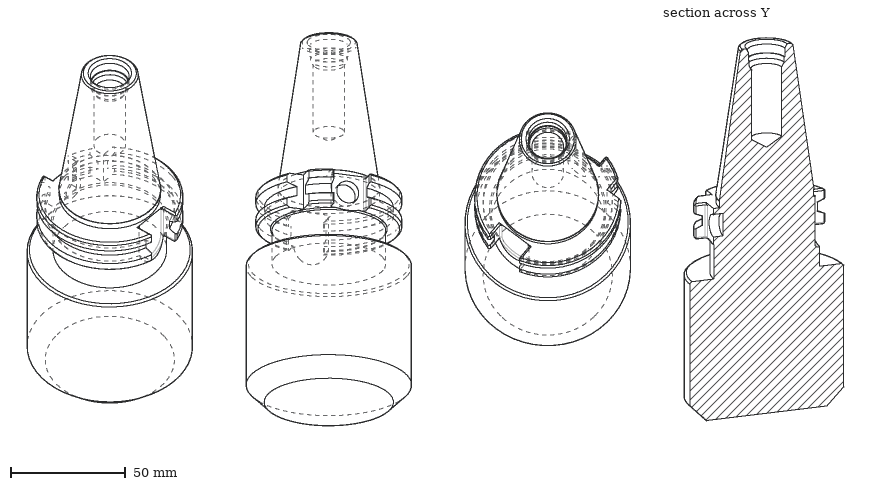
import cadquery as cq
import math

TOTAL_HEIGHT = 168.4

BODY_RADIUS = 36.0
BODY_TOP = 64.7
BODY_TOP_CHAMFER = 1.0
NOSE_CHAMFER = 7.9
SHANK_RADIUS = 24.8
SHANK_CHAMFER = 0.7

FLANGE_RADIUS = 31.8
FLANGE_BOTTOM = 81.0
FLANGE_TOP = 97.0
FLANGE_CHAMFER = 1.0
GROOVE_FLOOR_RADIUS = 28.1
GROOVE_CENTER = 89.0
GROOVE_FLOOR_WIDTH = 4.2
GROOVE_FLANK_HEIGHT = 1.6

GAUGE_RADIUS = 22.2
GAUGE_HEIGHT = 100.0
TAPER_PER_LENGTH = 7 / 24
TAPER_END_CHAMFER = 0.8
NECK_RADIUS = 22.0

MOUTH_RADIUS = 9.5
MOUTH_DEPTH = 1.9
PILOT_RADIUS = 8.5
PILOT_DEPTH = 5.9
RELIEF_RADIUS = 8.0
RELIEF_DEPTH = 8.3
BORE_RADIUS = 6.9
BORE_CHAMFER_DEPTH = 10.3
BORE_DEPTH = 42.1
DRILL_POINT_ANGLE = 118.0

SLOT_WIDTH = 16.2
SLOT_EDGE_CHAMFER = 0.8
SLOT_CORNER_FILLET = 0.8
LEFT_SLOT_FLOOR = 25.0
RIGHT_SLOT_FLOOR = 22.7
SLOT_END = 73.6

NOTCH_X = 18.5
NOTCH_Y = 18.2
CHIP_RADIUS = 5.0
CHIP_DEPTH = 4.5


def make_holder():
    """Revolve the outer shape from the nose up to the small end of the taper."""
    floor_half = GROOVE_FLOOR_WIDTH / 2
    mouth_half = floor_half + GROOVE_FLANK_HEIGHT
    end_radius = GAUGE_RADIUS - (TOTAL_HEIGHT - GAUGE_HEIGHT) * TAPER_PER_LENGTH / 2
    chamfer_start = TOTAL_HEIGHT - TAPER_END_CHAMFER
    chamfer_start_radius = end_radius + TAPER_END_CHAMFER * TAPER_PER_LENGTH / 2

    outline = [
        (0, 0),
        (BODY_RADIUS - NOSE_CHAMFER, 0),
        (BODY_RADIUS, NOSE_CHAMFER),
        (BODY_RADIUS, BODY_TOP - BODY_TOP_CHAMFER),
        (BODY_RADIUS - BODY_TOP_CHAMFER, BODY_TOP),
        (SHANK_RADIUS, BODY_TOP),
        (SHANK_RADIUS, FLANGE_BOTTOM - SHANK_CHAMFER),
        (SHANK_RADIUS + SHANK_CHAMFER, FLANGE_BOTTOM),
        (FLANGE_RADIUS - FLANGE_CHAMFER, FLANGE_BOTTOM),
        (FLANGE_RADIUS, FLANGE_BOTTOM + FLANGE_CHAMFER),
        (FLANGE_RADIUS, GROOVE_CENTER - mouth_half),
        (GROOVE_FLOOR_RADIUS, GROOVE_CENTER - floor_half),
        (GROOVE_FLOOR_RADIUS, GROOVE_CENTER + floor_half),
        (FLANGE_RADIUS, GROOVE_CENTER + mouth_half),
        (FLANGE_RADIUS, FLANGE_TOP - FLANGE_CHAMFER),
        (FLANGE_RADIUS - FLANGE_CHAMFER, FLANGE_TOP),
        (NECK_RADIUS, FLANGE_TOP),
        (NECK_RADIUS, GAUGE_HEIGHT),
        (GAUGE_RADIUS, GAUGE_HEIGHT),
        (chamfer_start_radius, chamfer_start),
        (chamfer_start_radius - TAPER_END_CHAMFER, TOTAL_HEIGHT),
        (0, TOTAL_HEIGHT),
    ]
    return cq.Workplane("XZ").polyline(outline).close().revolve(360, (0, 0), (0, 1))


def make_bore():
    """Stepped draw-bar bore ending in a drill point."""
    point_depth = BORE_RADIUS / math.tan(math.radians(DRILL_POINT_ANGLE / 2))
    steps = [
        (0, 0),
        (MOUTH_RADIUS, 0),
        (PILOT_RADIUS, MOUTH_DEPTH),
        (PILOT_RADIUS, PILOT_DEPTH),
        (RELIEF_RADIUS, PILOT_DEPTH),
        (RELIEF_RADIUS, RELIEF_DEPTH),
        (BORE_RADIUS, BORE_CHAMFER_DEPTH),
        (BORE_RADIUS, BORE_DEPTH),
        (0, BORE_DEPTH + point_depth),
    ]
    outline = [(radius, TOTAL_HEIGHT - depth) for radius, depth in steps]
    return cq.Workplane("XZ").polyline(outline).close().revolve(360, (0, 0), (0, 1))


def make_slot_channel(floor):
    """Slot channel on the +X side, from above the flange down to a round end, with filleted floor corners."""
    half_width = SLOT_WIDTH / 2
    end_center = SLOT_END + half_width
    return (
        cq.Workplane("YZ", origin=(floor, 0, 0))
        .moveTo(-half_width, TOTAL_HEIGHT)
        .lineTo(-half_width, end_center)
        .threePointArc((0, SLOT_END), (half_width, end_center))
        .lineTo(half_width, TOTAL_HEIGHT)
        .close()
        .extrude(BODY_RADIUS - floor)
        .faces("<X")
        .edges("not >Z")
        .fillet(SLOT_CORNER_FILLET)
    )


def make_rim_flare():
    """Wedge that chamfers the edges where the slot walls meet the flange rim."""
    half_width = SLOT_WIDTH / 2
    rim_x = math.sqrt(FLANGE_RADIUS**2 - half_width**2)
    inner_x = rim_x - SLOT_EDGE_CHAMFER
    outer_x = rim_x + SLOT_EDGE_CHAMFER
    outer_half = half_width + outer_x - inner_x
    outline = [
        (inner_x, -half_width),
        (outer_x, -outer_half),
        (outer_x, outer_half),
        (inner_x, half_width),
    ]
    return (
        cq.Workplane("XY", origin=(0, 0, FLANGE_BOTTOM))
        .polyline(outline)
        .close()
        .extrude(FLANGE_TOP - FLANGE_BOTTOM)
    )


def make_top_flare(floor):
    """Wedge that chamfers the edges where the slot walls meet the flange top."""
    half_width = SLOT_WIDTH / 2
    top_half = half_width + SLOT_EDGE_CHAMFER
    outline = [
        (-half_width, FLANGE_TOP - SLOT_EDGE_CHAMFER),
        (-top_half, FLANGE_TOP),
        (top_half, FLANGE_TOP),
        (half_width, FLANGE_TOP - SLOT_EDGE_CHAMFER),
    ]
    return (
        cq.Workplane("YZ", origin=(floor, 0, 0))
        .polyline(outline)
        .close()
        .extrude(FLANGE_RADIUS - floor)
    )


def make_slot(floor):
    """Complete cutter for a drive slot on the +X side."""
    return make_slot_channel(floor).union(make_rim_flare()).union(make_top_flare(floor))


def make_notch():
    """Square corner notch through the flange at its -X, +Y side."""
    return (
        cq.Workplane("XY", origin=(-NOTCH_X, NOTCH_Y, FLANGE_BOTTOM))
        .rect(-BODY_RADIUS, BODY_RADIUS, centered=False)
        .extrude(FLANGE_TOP - FLANGE_BOTTOM)
    )


def make_chip_pocket():
    """Blind round pocket in the floor of the -X slot."""
    return (
        cq.Workplane("YZ", origin=(-LEFT_SLOT_FLOOR, 0, (FLANGE_BOTTOM + FLANGE_TOP) / 2))
        .circle(CHIP_RADIUS)
        .extrude(CHIP_DEPTH)
    )


result = (
    make_holder()
    .cut(make_bore())
    .cut(make_slot(RIGHT_SLOT_FLOOR))
    .cut(make_slot(LEFT_SLOT_FLOOR).mirror("YZ"))
    .cut(make_notch())
    .cut(make_chip_pocket())
)